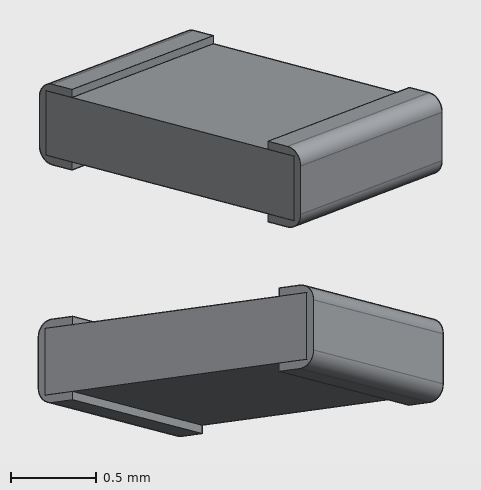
import cadquery as cq

length = 2.0
width = 1.3
height = 0.5

cap_thickness = 0.05
cap_reach = 0.25
cap_corner_radius = 0.1

body_length = length - 2 * cap_thickness
body_height = height - 2 * cap_thickness


def make_body():
    """Plain block running between the two end walls of the caps."""
    return cq.Workplane("XY").box(body_length, width, body_height)


def make_cap(side):
    """C-shaped cap at the -X end (side = -1) or the +X end (side = 1)."""
    center_x = side * (length - cap_reach) / 2
    blank = cq.Workplane("XY").box(cap_reach, width, height).translate((center_x, 0, 0))
    outer_face = ">X" if side > 0 else "<X"
    rounded = blank.edges(f"{outer_face} and |Y").fillet(cap_corner_radius)
    return rounded.cut(make_body()).solids()


body = make_body()
caps = [make_cap(side) for side in (-1, 1)]

result = cq.Compound.makeCompound([body.val(), *(cap.val() for cap in caps)])